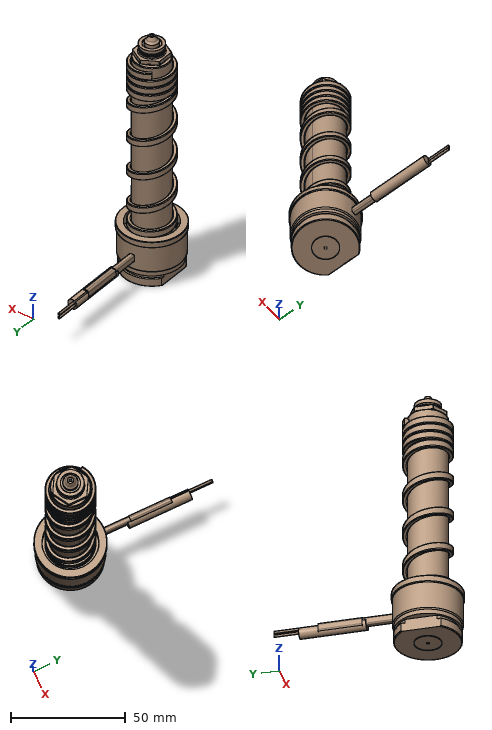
import cadquery as cq
import math

pad_radius = 6.1
pad_height = 0.4
foot_radius = 15.0
foot_chamfer = 0.4
foot_top_z = 4.5
groove_radius = 14.0
groove_top_z = 6.3
shoulder_top_z = 8.4
body_radius = 15.5
body_bottom_z = 9.0
flange_radius = 16.0
flange_bottom_z = 21.9
flange_top_z = 25.2
flange_chamfer = 0.3
flange_lower_chamfer = 0.4
foot_flat_x = -12.0

well_radius = 12.4
well_depth = 5.0

column_radius = 9.0
column_top_z = 114.2
column_chamfer = 0.4
neck_radius = 7.0
nut_bottom_z = 114.8
nut_top_z = 116.9
nut_across_flats = 14.9
nut_corner_radius = 8.5
seat_radius = 6.3
seat_top_z = 117.3
thread_radius = 5.8
thread_groove_radius = 5.5
thread_groove_bottom_z = 118.0
thread_groove_top_z = 118.6
collar_radius = 6.0
collar_bottom_z = 119.3
collar_top_z = 121.2
tip_well_radius = 4.4
tip_well_depth = 0.8
tip_radius = 3.4
tip_cone_z = 122.3
tip_break_radius = 2.4
tip_break_z = 123.3
tip_end_radius = 1.4
tip_top_z = 125.2
bore_radius = 0.6

coil_outer_radius = 11.1
coil_embed = 0.1
coil_height = 3.5
coil_chamfer = 0.4
coil_inner_chamfer = 0.6
coil_end_angle = 127.0
coil_end_z = 110.8
close_pitch = 3.9
open_pitch = 18.0
upper_close_sweep = 1320.0
upper_blend_sweep = 140.0
open_sweep = 1238.0
lower_blend_sweep = 130.0
lower_close_sweep = 340.0
coil_step = 10.0
coil_stretches = [
    (upper_close_sweep, close_pitch, close_pitch),
    (upper_blend_sweep, close_pitch, open_pitch),
    (open_sweep, open_pitch, open_pitch),
    (lower_blend_sweep, open_pitch, close_pitch),
    (lower_close_sweep, close_pitch, close_pitch),
]

cable_x = -0.8
cable_z = 14.6
cable_width = 2.6
cable_height = 3.8
cable_rounding = 0.6
jacket_width = 2.9
jacket_height = 4.3
jacket_rounding = 0.9
jacket_start_y = 29.0
jacket_end_y = 49.0
sleeve_radius = 2.5
sleeve_z = 13.8
sleeve_start_y = 27.4
sleeve_end_y = 57.7
wire_radius = 0.56
wire_x = -1.1
wire_z = 14.5
wire_offset = 0.94
wire_end_y = 69.0


def make_body():
    profile = [
        (0, 0),
        (pad_radius, 0),
        (pad_radius, pad_height),
        (foot_radius - foot_chamfer, pad_height),
        (foot_radius, pad_height + foot_chamfer),
        (foot_radius, foot_top_z),
        (groove_radius, foot_top_z),
        (groove_radius, groove_top_z),
        (foot_radius, groove_top_z),
        (foot_radius, shoulder_top_z),
        (body_radius, body_bottom_z),
        (body_radius, flange_bottom_z),
        (flange_radius - flange_lower_chamfer, flange_bottom_z),
        (flange_radius, flange_bottom_z + flange_lower_chamfer),
        (flange_radius, flange_top_z - flange_chamfer),
        (flange_radius - flange_chamfer, flange_top_z),
        (well_radius, flange_top_z),
        (well_radius, flange_top_z - well_depth),
        (0, flange_top_z - well_depth),
    ]
    body = cq.Workplane("XZ").polyline(profile).close().revolve(360, (0, 0), (0, 1))
    flat_cut = (
        cq.Workplane("XY")
        .box(foot_radius, 2 * foot_radius, groove_top_z, centered=(False, True, False))
        .translate((foot_flat_x - foot_radius, 0, 0))
    )
    return body.cut(flat_cut)


def make_column():
    profile = [
        (0, shoulder_top_z),
        (column_radius, shoulder_top_z),
        (column_radius, column_top_z - column_chamfer),
        (column_radius - column_chamfer, column_top_z),
        (neck_radius, column_top_z),
        (neck_radius, nut_bottom_z),
        (seat_radius, nut_bottom_z),
        (seat_radius, nut_top_z),
        (thread_radius, seat_top_z),
        (thread_radius, thread_groove_bottom_z),
        (thread_groove_radius, thread_groove_bottom_z),
        (thread_groove_radius, thread_groove_top_z),
        (thread_radius, thread_groove_top_z),
        (thread_radius, collar_bottom_z),
        (collar_radius, collar_bottom_z),
        (collar_radius, collar_top_z),
        (tip_well_radius, collar_top_z),
        (tip_well_radius, collar_top_z - tip_well_depth),
        (tip_radius, collar_top_z - tip_well_depth),
        (tip_radius, tip_cone_z),
        (tip_break_radius, tip_break_z),
        (tip_end_radius, tip_top_z),
        (0, tip_top_z),
    ]
    return cq.Workplane("XZ").polyline(profile).close().revolve(360, (0, 0), (0, 1))


def make_nut():
    across_corners = nut_across_flats / math.cos(math.radians(30))
    nut_height = nut_top_z - nut_bottom_z
    base = cq.Workplane("XY", origin=(0, 0, nut_bottom_z))
    hexagon = base.polygon(6, across_corners).extrude(nut_height).rotate((0, 0, 0), (0, 0, 1), 30)
    return hexagon.intersect(base.circle(nut_corner_radius).extrude(nut_height))


def coil_drop(turned):
    """Return the height lost after winding down by `turned` degrees from the upper end."""
    drop = 0.0
    for sweep, first_pitch, last_pitch in coil_stretches:
        part = min(turned, sweep)
        pitch_here = first_pitch + (last_pitch - first_pitch) * part / sweep
        drop += part / 360 * (first_pitch + pitch_here) / 2
        turned -= part
    return drop


def make_coil():
    """Make the band bounded by ruled faces between the winding curves of its section corners."""
    inner_radius = column_radius - coil_embed
    half = coil_height / 2
    corners = [
        (inner_radius, -half + coil_inner_chamfer),
        (inner_radius + coil_inner_chamfer, -half),
        (coil_outer_radius - coil_chamfer, -half),
        (coil_outer_radius, -half + coil_chamfer),
        (coil_outer_radius, half - coil_chamfer),
        (coil_outer_radius - coil_chamfer, half),
        (inner_radius + coil_inner_chamfer, half),
        (inner_radius, half - coil_inner_chamfer),
    ]
    total_sweep = sum(sweep for sweep, _, _ in coil_stretches)
    steps = math.ceil(total_sweep / coil_step)

    def corner_point(radius, height, turned):
        angle = math.radians(coil_end_angle - turned)
        z = coil_end_z - coil_drop(turned) + height
        return cq.Vector(radius * math.cos(angle), radius * math.sin(angle), z)

    def corner_curve(radius, height):
        turns = [total_sweep * i / steps for i in range(steps + 1)]
        return cq.Edge.makeSpline([corner_point(radius, height, turned) for turned in turns])

    curves = [corner_curve(radius, height) for radius, height in corners]
    next_curves = curves[1:] + curves[:1]
    faces = [cq.Face.makeRuledSurface(a, b) for a, b in zip(curves, next_curves)]
    for turned in (0, total_sweep):
        outline = [corner_point(radius, height, turned) for radius, height in corners]
        faces.append(cq.Face.makeFromWires(cq.Wire.makePolygon(outline, close=True)))
    return cq.Workplane(cq.Solid.makeSolid(cq.Shell.makeShell(faces)))


def rounded_bar(width, height, rounding, start_y, end_y):
    bar = cq.Workplane("XY").box(width, end_y - start_y, height)
    return bar.edges("|Y").fillet(rounding).translate((cable_x, (start_y + end_y) / 2, cable_z))


def round_bar(radius, x, z, start_y, end_y):
    return cq.Workplane("XZ", origin=(x, start_y, z)).circle(radius).extrude(start_y - end_y)


def make_cable():
    cable_start_y = (body_radius + well_radius) / 2
    jacket_length = jacket_end_y - jacket_start_y
    cable = rounded_bar(cable_width, cable_height, cable_rounding, cable_start_y, jacket_end_y)
    jacket = rounded_bar(jacket_width, jacket_height, jacket_rounding, jacket_start_y, jacket_end_y)
    window_x = cable_x - jacket_width / 2 + jacket_rounding
    sleeve_window = (
        cq.Workplane("XY")
        .box(sleeve_radius, jacket_length, jacket_height)
        .translate((window_x - sleeve_radius / 2, (jacket_start_y + jacket_end_y) / 2, cable_z))
    )
    sleeve = round_bar(sleeve_radius, 0, sleeve_z, sleeve_start_y, sleeve_end_y).cut(sleeve_window)
    cable = cable.union(jacket).union(sleeve)
    for z in (wire_z - wire_offset, wire_z + wire_offset):
        cable = cable.union(round_bar(wire_radius, wire_x, z, jacket_start_y, wire_end_y))
    return cable


def make_part():
    bore = cq.Workplane("XY").circle(bore_radius).extrude(tip_top_z)
    part = make_body().union(make_column()).union(make_nut()).union(make_coil())
    return part.union(make_cable()).cut(bore)


result = make_part()